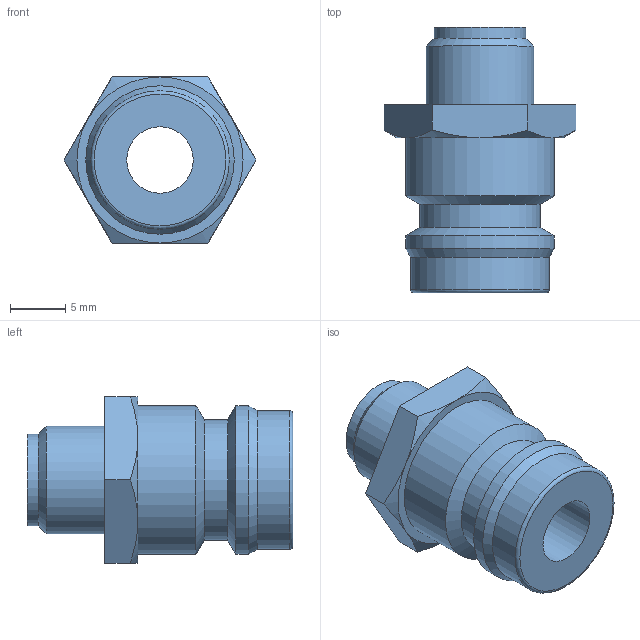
import cadquery as cq
import math

hex_across_flats = 15.0
hex_across_corners = hex_across_flats / math.cos(math.radians(30))
hex_chamfer_angle = 30.0

bore_diameter = 6.0
nose_diameter = 12.5
body_diameter = 13.4
groove_diameter = 10.85
thread_diameter = 9.728
tip_diameter = 8.3
nose_edge_radius = 0.3

nose_end = 3.2
rim_start = 4.0
rim_end = 5.15
groove_start = 5.9
groove_end = 8.0
body_start = 8.75
hex_start = 14.0
hex_end = 17.0
tip_length = 1.0
total_length = 24.0
tip_start = total_length - tip_length
thread_end = tip_start - (thread_diameter - tip_diameter) / 2


def revolve_about_y(profile):
    """Revolve a closed (radius, Y) outline about the Y axis."""
    return profile.close().revolve(360, (0, 0, 0), (0, 1, 0))


def make_turned_body():
    nose_radius = nose_diameter / 2
    body_radius = body_diameter / 2
    groove_radius = groove_diameter / 2
    thread_radius = thread_diameter / 2
    tip_radius = tip_diameter / 2
    arc_offset = nose_edge_radius * (1 - math.sqrt(0.5))
    profile = (
        cq.Workplane("XY")
        .lineTo(nose_radius - nose_edge_radius, 0)
        .threePointArc((nose_radius - arc_offset, arc_offset), (nose_radius, nose_edge_radius))
        .lineTo(nose_radius, nose_end)
        .lineTo(body_radius, rim_start)
        .lineTo(body_radius, rim_end)
        .lineTo(groove_radius, groove_start)
        .lineTo(groove_radius, groove_end)
        .lineTo(body_radius, body_start)
        .lineTo(body_radius, hex_start)
        .lineTo(thread_radius, hex_start)
        .lineTo(thread_radius, thread_end)
        .lineTo(tip_radius, tip_start)
        .lineTo(tip_radius, total_length)
        .lineTo(0, total_length)
    )
    return revolve_about_y(profile)


def make_hex_collar():
    """Hexagon with corners on +X and -X, its plug-side corners turned to a cone."""
    inner_radius = hex_across_flats / 2
    corner_radius = hex_across_corners / 2
    chamfer_length = (corner_radius - inner_radius) * math.tan(math.radians(hex_chamfer_angle))
    prism = (
        cq.Workplane("XZ", origin=(0, hex_end, 0))
        .polygon(6, hex_across_corners)
        .extrude(hex_end - hex_start)
    )
    chamfer_envelope = revolve_about_y(
        cq.Workplane("XY")
        .moveTo(0, hex_start)
        .lineTo(inner_radius, hex_start)
        .lineTo(corner_radius, hex_start + chamfer_length)
        .lineTo(corner_radius, hex_end)
        .lineTo(0, hex_end)
    )
    return prism.intersect(chamfer_envelope)


def make_bore():
    return (
        cq.Workplane("XZ", origin=(0, total_length, 0))
        .circle(bore_diameter / 2)
        .extrude(total_length)
    )


result = make_turned_body().union(make_hex_collar()).cut(make_bore())